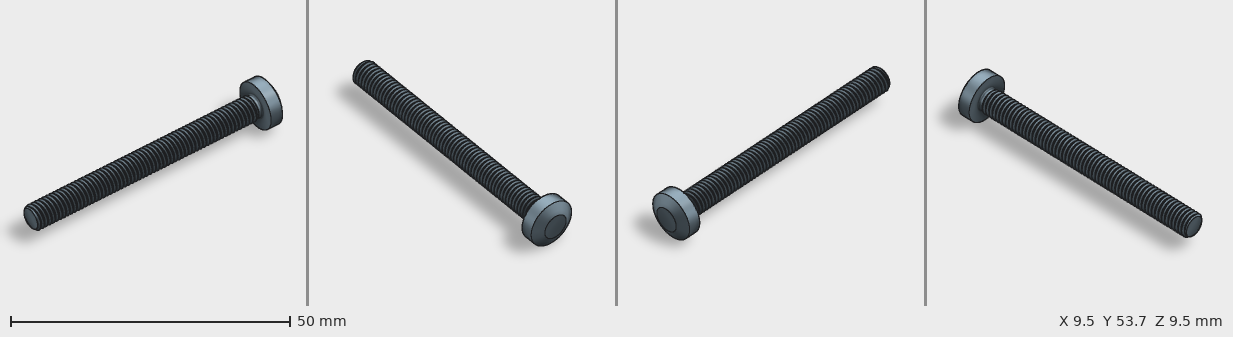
import cadquery as cq
import math


head_diameter = 9.5
head_height = 3.7
rim_height = 2.55
crown_flat_radius = 2.5
crown_radius = 8.0

shank_length = 50.0
neck_radius = 2.2
neck_length = 0.8
neck_fillet = 0.25
major_radius = 2.5
pitch = 0.8
flank_half_angle = math.radians(30)
crest_width = pitch / 8
root_width = pitch / 4
thread_depth = (pitch - crest_width - root_width) / (2 * math.tan(flank_half_angle))
root_radius = major_radius - thread_depth
tip_chamfer = thread_depth
ridge_embed = 0.05
trim_clearance = 0.05
overrun = 1.5 * pitch
turns_per_section = 3


def make_head():
    """Cylindrical rim under a convex crown with a flat top."""
    head_radius = head_diameter / 2
    return (
        cq.Workplane("XZ")
        .lineTo(head_radius, 0)
        .lineTo(head_radius, rim_height)
        .radiusArc((crown_flat_radius, head_height), -crown_radius)
        .lineTo(0, head_height)
        .close()
        .revolve(360, (0, 0, 0), (0, 1, 0))
    )


def make_core():
    """Root cylinder with a thicker plain neck that flares into the head."""
    return (
        cq.Workplane("XZ")
        .lineTo(neck_radius + neck_fillet, 0)
        .radiusArc((neck_radius, -neck_fillet), -neck_fillet)
        .lineTo(neck_radius, -neck_length)
        .lineTo(root_radius, -neck_length - (neck_radius - root_radius))
        .lineTo(root_radius, -shank_length)
        .lineTo(0, -shank_length)
        .close()
        .revolve(360, (0, 0, 0), (0, 1, 0))
    )


def make_thread_ridge():
    """Right-handed helical ridge, trimmed to the chamfered tip and the run-out at the neck."""
    start = -shank_length - overrun
    end = -neck_length
    inner_radius = root_radius - ridge_embed
    half_crest = crest_width / 2
    half_base = half_crest + (major_radius - inner_radius) * math.tan(flank_half_angle)
    section_length = turns_per_section * pitch
    section_count = round((end - start) / section_length)
    section = cq.Wire.makeHelix(pitch, section_length, inner_radius, cq.Vector(0, 0, start))
    helix = cq.Wire.assembleEdges(
        [
            edge.translate(cq.Vector(0, 0, index * section_length))
            for index in range(section_count)
            for edge in section.Edges()
        ]
    )
    ridge = (
        cq.Workplane("XZ")
        .moveTo(inner_radius, start - half_base)
        .lineTo(major_radius, start - half_crest)
        .lineTo(major_radius, start + half_crest)
        .lineTo(inner_radius, start + half_base)
        .close()
        .sweep(cq.Workplane(obj=helix), isFrenet=True)
    )
    envelope_radius = major_radius + trim_clearance
    envelope = (
        cq.Workplane("XZ")
        .moveTo(0, -neck_length)
        .lineTo(neck_radius, -neck_length)
        .lineTo(envelope_radius, -neck_length - (envelope_radius - neck_radius))
        .lineTo(envelope_radius, -shank_length + tip_chamfer + trim_clearance)
        .lineTo(major_radius - tip_chamfer, -shank_length)
        .lineTo(0, -shank_length)
        .close()
        .revolve(360, (0, 0, 0), (0, 1, 0))
    )
    return ridge.intersect(envelope)


screw = make_core().union(make_head()).union(make_thread_ridge())
result = screw.rotate((0, 0, 0), (1, 0, 0), -90)